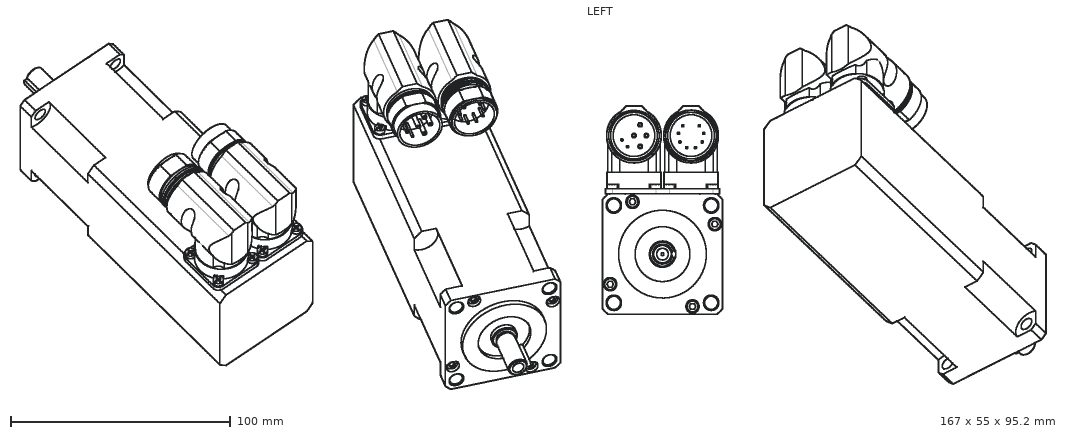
import cadquery as cq
import math


body_side = 55.0
body_half = body_side / 2
total_length = 167
shaft_tip_x = -23.7
body_end_x = total_length + shaft_tip_x
flange_thickness = 8.0
flange_corner_radius = 37.0
body_corner_radius = 36.4
pocket_end_x = 48.6
pocket_center = 23.9
pocket_radius = 7.7

mount_hole_offset = 22.2
mount_hole_radius = 3.0
mount_hole_chamfer = 0.5
flange_screw_near = 13.7
flange_screw_far = 23.9
flange_screw_recess_radius = 3.0
flange_screw_recess_depth = 2.2
flange_screw_head_radius = 2.5
flange_screw_head_height = 0.8
flange_screw_socket_size = 3.0

pilot_radius = 20
pilot_height = 2.5
pilot_recess_radius = 12.5
pilot_recess_depth = 2.0
seal_radius = 6.0
seal_top_x = -3.0
seal_chamfer = 0.5
shaft_radius = 4.5
shaft_neck_radius = 4.2
shaft_shoulder_x = -4.0
shaft_chamfer = 0.5
center_bore_radius = 0.7
center_bore_depth = 8.4
center_sink_radius = 2.7
center_sink_slope = 30
key_width = 3.0
key_length = 13.9
key_inset = 0.2
key_bottom = 3.2
key_top = 6.0

connector_y = 13.0
connector_z = 54.1
post_x = 126.8
plate_half = 13.0
plate_corner_radius = 3.2
plate_top = 29.9
ring_radius = 12.4
ring_top = 37.4
post_radius = 12.0
plate_screw_offset = 10.0
plate_screw_head_radius = 2.3
plate_screw_head_height = 2.0
plate_screw_socket_length = 2.7
plate_screw_socket_width = 0.5
plate_screw_socket_depth = 1.0
driver_clearance_radius = 3.5
ring_notch_radius = 3.0
housing_front_x = 102.7
housing_end_x = 140.0
housing_radius = 12.5
housing_tail_radius = 14.0
housing_top = body_side / 2 + 40.2 - connector_z
crest_half_top = 3.5
crest_half_base = 6.0
housing_notch_offset = 12.0

nose_tip_x = 87.0
nose_lip_radius = 10.7
nose_grip_radius = 11.5
nose_flat_height = 10.5
nose_neck_radius = 11.0
nose_ring_radius = 11.7
bore_radius = 9.5
signal_bore_depth = 8.7
signal_pin_length = 5.7
power_bore_depth = 10.9
power_pin_length = 9.4
signal_pin_radius = 0.5
signal_pin_chamfer = 0.2
signal_pin_circle = 5.8
signal_pin_step = 40
power_pin_radius = 1.0
power_pin_chamfer = 0.3
power_pin_circle = 5.7


def rod(radius, x_start, x_end, y=0, z=0):
    """Cylinder parallel to X."""
    return cq.Workplane("YZ", origin=(x_start, y, z)).circle(radius).extrude(x_end - x_start)


def post(radius, z_start, z_end, x, y):
    """Cylinder parallel to Z."""
    return cq.Workplane("XY", origin=(x, y, z_start)).circle(radius).extrude(z_end - z_start)


def rounded_block(x_start, x_end, corner_radius):
    """Square block whose corners lie on a cylinder around the shaft axis."""
    length = x_end - x_start
    block = cq.Workplane("YZ", origin=(x_start, 0, 0)).rect(body_side, body_side).extrude(length)
    return block.intersect(rod(corner_radius, x_start, x_end))


def make_motor_body():
    motor = rounded_block(0, flange_thickness, flange_corner_radius)
    motor = motor.union(rounded_block(flange_thickness, body_end_x, body_corner_radius))
    for y_side in (-1, 1):
        for z_side in (-1, 1):
            pocket_y = y_side * pocket_center
            pocket_z = z_side * pocket_center
            motor = motor.cut(rod(pocket_radius, flange_thickness, pocket_end_x, pocket_y, pocket_z))

    hole_spacing = 2 * mount_hole_offset
    hole_sink = mount_hole_radius + mount_hole_chamfer
    holes = (
        cq.Workplane("YZ")
        .rect(hole_spacing, hole_spacing, forConstruction=True)
        .vertices()
        .circle(mount_hole_radius)
        .extrude(flange_thickness)
    )
    sinks = (
        cq.Workplane("YZ")
        .rect(hole_spacing, hole_spacing, forConstruction=True)
        .vertices()
        .circle(hole_sink)
        .extrude(mount_hole_chamfer, taper=45)
    )
    motor = motor.cut(holes).cut(sinks)

    for turn in range(4):
        angle = math.radians(90 * turn)
        y = flange_screw_near * math.cos(angle) - flange_screw_far * math.sin(angle)
        z = flange_screw_near * math.sin(angle) + flange_screw_far * math.cos(angle)
        motor = motor.cut(rod(flange_screw_recess_radius, 0, flange_screw_recess_depth, y, z))
        head_x = flange_screw_recess_depth - flange_screw_head_height
        head = rod(flange_screw_head_radius, head_x, flange_screw_recess_depth, y, z)
        socket = (
            cq.Workplane("YZ", origin=(head_x, y, z))
            .polygon(6, flange_screw_socket_size)
            .extrude(flange_screw_head_height)
        )
        motor = motor.union(head.cut(socket))
    return motor


def make_pilot():
    pilot = rod(pilot_radius, -pilot_height, 0)
    recess = rod(pilot_recess_radius, -pilot_height, pilot_recess_depth - pilot_height)
    seal = rod(seal_radius, seal_top_x, 0).faces("<X").chamfer(seal_chamfer)
    return pilot.cut(recess).union(seal)


def make_shaft():
    shaft = rod(shaft_radius, shaft_tip_x, shaft_shoulder_x).faces("<X").chamfer(shaft_chamfer)
    shaft = shaft.union(rod(shaft_neck_radius, shaft_shoulder_x, 0))
    sink_depth = (center_sink_radius - center_bore_radius) / math.tan(math.radians(center_sink_slope))
    sink = (
        cq.Workplane("YZ", origin=(shaft_tip_x, 0, 0))
        .circle(center_sink_radius)
        .extrude(sink_depth, taper=center_sink_slope)
    )
    shaft = shaft.cut(rod(center_bore_radius, shaft_tip_x, shaft_tip_x + center_bore_depth)).cut(sink)
    key = (
        cq.Workplane("XZ", origin=(shaft_tip_x + key_inset + key_length / 2, -key_bottom, 0))
        .slot2D(key_length, key_width)
        .extrude(key_top - key_bottom)
    )
    return shaft.union(key)


def make_connector_foot(y):
    """Screwed plate, ring and fluted post that carry a connector housing."""
    plate = (
        cq.Workplane("XY", origin=(post_x, y, body_half))
        .rect(2 * plate_half, 2 * plate_half)
        .extrude(plate_top - body_half)
        .edges("|Z")
        .fillet(plate_corner_radius)
    )
    column = post(ring_radius, plate_top, ring_top, post_x, y)
    column = column.union(post(post_radius, ring_top, connector_z, post_x, y))
    head_top = plate_top + plate_screw_head_height
    for x_side in (-1, 1):
        for y_side in (-1, 1):
            screw_x = post_x + x_side * plate_screw_offset
            screw_y = y + y_side * plate_screw_offset
            column = column.cut(post(ring_notch_radius, plate_top, head_top, screw_x, screw_y))
            column = column.cut(post(driver_clearance_radius, ring_top, connector_z, screw_x, screw_y))
            head = post(plate_screw_head_radius, plate_top, head_top, screw_x, screw_y)
            socket_floor = cq.Workplane("XY", origin=(screw_x, screw_y, head_top - plate_screw_socket_depth))
            for slot_x, slot_y in (
                (plate_screw_socket_length, plate_screw_socket_width),
                (plate_screw_socket_width, plate_screw_socket_length),
            ):
                head = head.cut(socket_floor.rect(slot_x, slot_y).extrude(plate_screw_socket_depth))
            plate = plate.union(head)
    return plate.union(column)


def make_connector_housing(y):
    """Round housing with a crest on top, a rounded tail and two screwdriver notches."""
    housing = rod(housing_radius, housing_front_x, housing_end_x, y, connector_z)
    crest_base = math.sqrt(housing_radius**2 - crest_half_base**2)
    crest = (
        cq.Workplane("YZ", origin=(housing_front_x, y, connector_z))
        .polyline([
            (-crest_half_base, 0),
            (crest_half_base, 0),
            (crest_half_base, crest_base),
            (crest_half_top, housing_top),
            (-crest_half_top, housing_top),
            (-crest_half_base, crest_base),
        ])
        .close()
        .extrude(housing_end_x - housing_front_x)
    )
    housing = housing.union(crest)

    plan_height = 4 * housing_radius
    z_low = connector_z - plan_height / 2
    z_high = connector_z + plan_height / 2
    plan = (
        cq.Workplane("XY", origin=(post_x, y, z_low))
        .moveTo(housing_front_x - post_x, -housing_tail_radius)
        .lineTo(0, -housing_tail_radius)
        .threePointArc((housing_tail_radius, 0), (0, housing_tail_radius))
        .lineTo(housing_front_x - post_x, housing_tail_radius)
        .close()
        .extrude(plan_height)
    )
    housing = housing.intersect(plan)

    notch_x = post_x - plate_screw_offset
    for y_side in (-1, 1):
        notch_y = y + y_side * housing_notch_offset
        housing = housing.cut(post(driver_clearance_radius, z_low, z_high, notch_x, notch_y))
    return housing


def make_nose(y, sections, bore_depth, pin_length, pins):
    """Hollow plug. Sections are (end X, radius, has flats); pins are (radius, chamfer, circle, angle)."""
    nose = None
    x_start = nose_tip_x
    for x_end, radius, has_flats in sections:
        section = rod(radius, x_start, x_end, y, connector_z)
        if has_flats:
            flats = cq.Workplane("YZ", origin=(x_start, y, connector_z)).rect(
                2 * radius, 2 * nose_flat_height
            ).extrude(x_end - x_start)
            section = section.intersect(flats)
        nose = section if nose is None else nose.union(section)
        x_start = x_end

    floor_x = nose_tip_x + bore_depth
    nose = nose.cut(rod(bore_radius, nose_tip_x, floor_x, y, connector_z))
    for radius, chamfer, circle, angle in pins:
        pin_y = y + circle * math.cos(math.radians(angle))
        pin_z = connector_z + circle * math.sin(math.radians(angle))
        pin = rod(radius, floor_x - pin_length, floor_x, pin_y, pin_z)
        nose = nose.union(pin.faces("<X").chamfer(chamfer))
    return nose


signal_sections = [
    (88.3, nose_lip_radius, False),
    (96.2, nose_grip_radius, True),
    (98.0, nose_lip_radius, False),
    (99.2, nose_ring_radius, False),
    (99.9, nose_neck_radius, False),
    (101.2, nose_grip_radius, False),
    (housing_front_x, nose_neck_radius, False),
]
signal_pins = [
    (signal_pin_radius, signal_pin_chamfer, signal_pin_circle, 90 + signal_pin_step * place)
    for place in range(1, 9)
]

power_sections = [
    (92.7, nose_lip_radius, False),
    (99.7, nose_grip_radius, True),
    (100.0, nose_neck_radius, False),
    (100.7, nose_grip_radius, False),
    (housing_front_x, nose_neck_radius, False),
]
power_pins = [(power_pin_radius, power_pin_chamfer, 0, 0)]
power_pins += [(power_pin_radius, power_pin_chamfer, power_pin_circle, angle) for angle in (120, 180, 240)]
power_pins += [(signal_pin_radius, signal_pin_chamfer, signal_pin_circle, angle) for angle in (300, 340)]

result = make_motor_body().union(make_pilot()).union(make_shaft())
for side_y, nose in (
    (-connector_y, make_nose(-connector_y, signal_sections, signal_bore_depth, signal_pin_length, signal_pins)),
    (connector_y, make_nose(connector_y, power_sections, power_bore_depth, power_pin_length, power_pins)),
):
    result = result.union(make_connector_foot(side_y))
    result = result.union(make_connector_housing(side_y))
    result = result.union(nose)